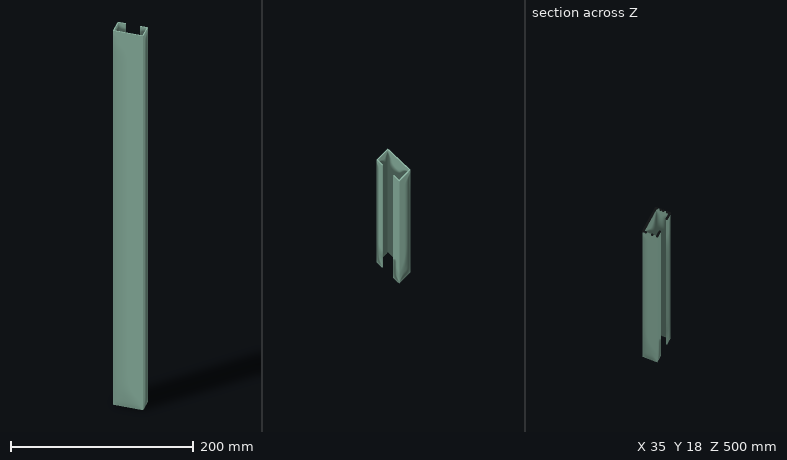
import cadquery as cq

WIDTH = 35.0
DEPTH = 18.0
LENGTH = 500.0
WALL = 1.25
SLOT_WIDTH = 16.5


def rectangular_tube():
    """Closed rectangular tube running along Z and centred on the origin."""
    outer = cq.Workplane("XY").box(WIDTH, DEPTH, LENGTH)
    cavity = cq.Workplane("XY").box(WIDTH - 2 * WALL, DEPTH - 2 * WALL, LENGTH)
    return outer.cut(cavity)


def lip_slot():
    """Full-length opening through the +Y wall that leaves two inward lips."""
    return cq.Workplane("XY").box(SLOT_WIDTH, WALL, LENGTH).translate((0, (DEPTH - WALL) / 2, 0))


result = rectangular_tube().cut(lip_slot())